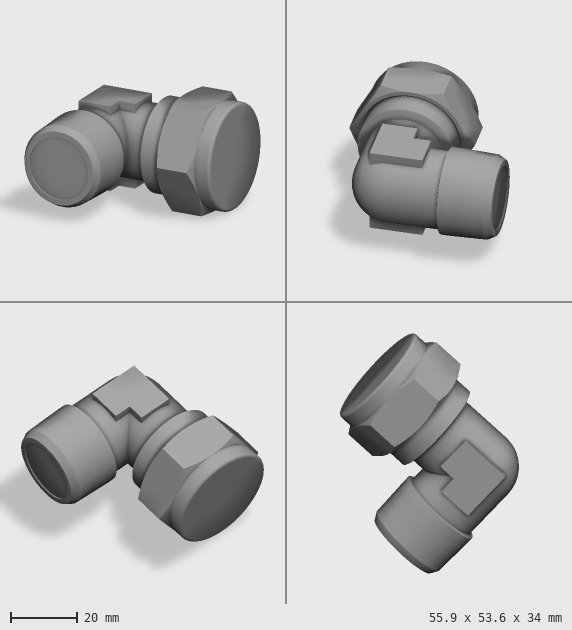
import cadquery as cq
import math

PIPE_RADIUS = 12.0
SHOULDER_OFFSET = 17.0
SHOULDER_ANGLE = math.radians(15)

PAD_HEIGHT = 13.6
PAD_UNIT = 5.5

MALE_END = 34.0
MALE_RADIUS = 13.43
MALE_BAND_END = 19.5
MALE_TIP_START = 31.65
MALE_TIP_RADIUS = 11.75
THREAD_TAPER = 1 / 32
RECESS_RADIUS = 10.0
RECESS_DEPTH = 0.5

COLLAR_RADIUS = 15.0
COLLAR_EDGE_HEIGHT = 0.45
COLLAR_EDGE_LENGTH = 0.2

NUT_START = 24.5
NUT_HEX_LENGTH = 13.0
NUT_END = 42.5
NUT_ACROSS_FLATS = 34.0
NUT_CHAMFER_RADIUS = 16.95
NUT_CHAMFER_ANGLE = math.radians(30)
NUT_BARREL_RADIUS = 16.9
NUT_BARREL_FILLET = 1.0
NUT_COUNTERSINK_RADIUS = 15.75

NUT_HEX_END = NUT_START + NUT_HEX_LENGTH
NUT_CORNER_RADIUS = NUT_ACROSS_FLATS / math.sqrt(3)
ORIGIN = (0, 0, 0)
X_AXIS_END = (1, 0, 0)
Y_AXIS_END = (0, 1, 0)


def turned_on_x(points):
    """Revolve a closed (x, radius) outline about the X axis."""
    return cq.Workplane("XY").polyline(points).close().revolve(360, ORIGIN, X_AXIS_END)


def make_elbow():
    arm_x = cq.Workplane("YZ").circle(PIPE_RADIUS).extrude(SHOULDER_OFFSET)
    arm_y = cq.Workplane("XZ").circle(PIPE_RADIUS).extrude(SHOULDER_OFFSET)
    corner = cq.Workplane("XY").sphere(PIPE_RADIUS)
    return arm_x.union(arm_y).union(corner)


def make_pads():
    """L-shaped block through the elbow; its ends are the two wrench pads."""
    near = PAD_UNIT
    far = 2 * PAD_UNIT
    outline = [(-near, near), (far, near), (far, -near), (near, -near), (near, -far), (-near, -far)]
    return cq.Workplane("XY").polyline(outline).close().extrude(PAD_HEIGHT, both=True)


def make_male_end():
    band_start = SHOULDER_OFFSET + (MALE_RADIUS - PIPE_RADIUS) * math.tan(SHOULDER_ANGLE)
    taper_end_radius = MALE_RADIUS - (MALE_TIP_START - MALE_BAND_END) * THREAD_TAPER
    recess_floor = MALE_END - RECESS_DEPTH
    outline = [
        (0, -SHOULDER_OFFSET),
        (PIPE_RADIUS, -SHOULDER_OFFSET),
        (MALE_RADIUS, -band_start),
        (MALE_RADIUS, -MALE_BAND_END),
        (taper_end_radius, -MALE_TIP_START),
        (MALE_TIP_RADIUS, -MALE_END),
        (RECESS_RADIUS, -MALE_END),
        (RECESS_RADIUS, -recess_floor),
        (0, -recess_floor),
    ]
    return cq.Workplane("XY").polyline(outline).close().revolve(360, ORIGIN, Y_AXIS_END)


def make_collar():
    """Collar with a sloped back, running through the hexagon of the nut."""
    edge_radius = COLLAR_RADIUS - COLLAR_EDGE_HEIGHT
    edge_start = SHOULDER_OFFSET + (edge_radius - PIPE_RADIUS) * math.tan(SHOULDER_ANGLE)
    outline = [
        (SHOULDER_OFFSET, 0),
        (SHOULDER_OFFSET, PIPE_RADIUS),
        (edge_start, edge_radius),
        (edge_start + COLLAR_EDGE_LENGTH, COLLAR_RADIUS),
        (NUT_HEX_END, COLLAR_RADIUS),
        (NUT_HEX_END, 0),
    ]
    return turned_on_x(outline)


def make_nut():
    hexagon = cq.Workplane("YZ", origin=(NUT_START, 0, 0))
    hexagon = hexagon.polygon(6, 2 * NUT_CORNER_RADIUS).extrude(NUT_HEX_LENGTH)

    chamfer_length = (NUT_CORNER_RADIUS - NUT_CHAMFER_RADIUS) * math.tan(NUT_CHAMFER_ANGLE)
    envelope = turned_on_x([
        (NUT_START, 0),
        (NUT_START, NUT_CHAMFER_RADIUS),
        (NUT_START + chamfer_length, NUT_CORNER_RADIUS),
        (NUT_HEX_END - chamfer_length, NUT_CORNER_RADIUS),
        (NUT_HEX_END, NUT_CHAMFER_RADIUS),
        (NUT_HEX_END, 0),
    ])

    countersink_end = NUT_START + NUT_COUNTERSINK_RADIUS - COLLAR_RADIUS
    countersink = turned_on_x([
        (NUT_START, 0),
        (NUT_START, NUT_COUNTERSINK_RADIUS),
        (countersink_end, COLLAR_RADIUS),
        (countersink_end, 0),
    ])

    barrel = cq.Workplane("YZ", origin=(NUT_HEX_END, 0, 0))
    barrel = barrel.circle(NUT_BARREL_RADIUS).extrude(NUT_END - NUT_HEX_END)
    barrel = barrel.faces(">X").edges().fillet(NUT_BARREL_FILLET)
    return hexagon.intersect(envelope).cut(countersink).union(barrel)


result = make_elbow().union(make_pads()).union(make_male_end())
result = result.union(make_nut()).union(make_collar())